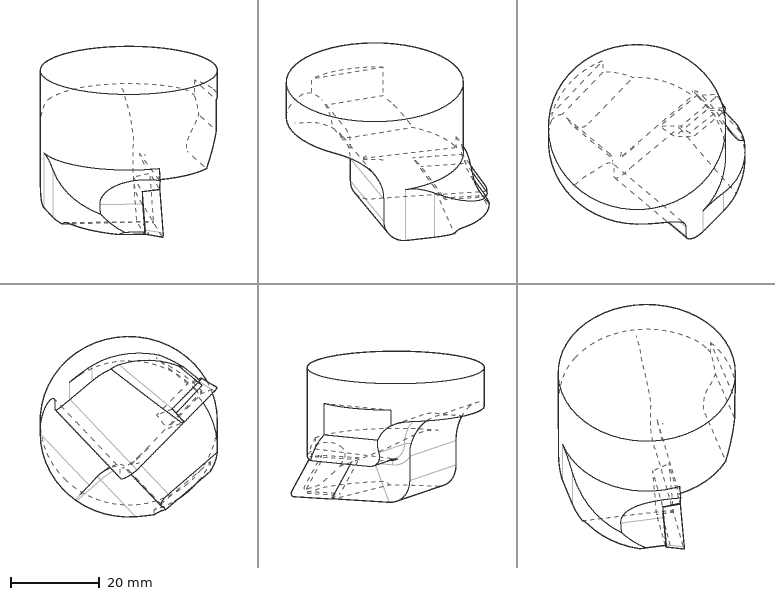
import cadquery as cq
import math

MARGIN = 14.05

head_diameter = 40.0
head_radius = head_diameter / 2

flange_edge_depth = 8.75
floor_angle = 3.0
stem_wall_x = -4.95
stem_bottom_depth = 30.55
stem_top_radius = 10.5
stem_bottom_radius = 5.5

stem_rear_y = 2.55
rear_floor_depth = 20.35
rear_wall_x = -4.45
rear_top_radius = 7.75
rear_blend_radius = 1.55
rear_bottom_radius = rear_floor_depth - flange_edge_depth - rear_top_radius
back_flat_y = 18.05
back_flat_top = -6.1
back_chamfer_top = -13.25
back_chamfer_floor_y = 14.0

arm_top_depth = 17.7
arm_flare_angle = 30.0
arm_flat_end_x = 6.95
arm_radius = 19.0
arm_depth = 37.5

insert_side = 11.62
insert_corner_angle = 55.0
insert_thickness = 4.0
insert_clearance = 7.0
insert_nose_radius = 0.75
insert_reach_x = 26.85
insert_reach_z = -32.0
insert_tip_y = -0.05
face_normal = cq.Vector(0.095, 1, -0.04)

relief_y = -3.75
relief_direction = cq.Vector(0.13, 1, -0.035)
relief_angle = insert_corner_angle + floor_angle
relief_corner = (25.05, -30.8)
relief_nose = (24.6, -31.45)
relief_wall_x = 20.55
relief_flank_radius = 6.55
relief_end_radius = 2.2
relief_end_x = 15.85

slope = math.tan(math.radians(floor_angle))
far = head_radius + MARGIN


def block(x0, x1, y0, y1, z0, z1):
    return cq.Workplane("XY").box(x1 - x0, y1 - y0, z1 - z0, centered=False).translate((x0, y0, z0))


def arm():
    """Flat-fronted arm bulging to +X, topped by a cone that flares from the head."""
    center_y = arm_radius - head_radius
    plan = (
        cq.Workplane("XY", origin=(0, 0, -arm_depth))
        .moveTo(0, -head_radius)
        .lineTo(arm_flat_end_x, -head_radius)
        .radiusArc((arm_flat_end_x + arm_radius, center_y), -arm_radius)
        .lineTo(arm_flat_end_x + arm_radius, stem_rear_y)
        .lineTo(0, stem_rear_y)
        .close()
        .extrude(arm_depth - arm_top_depth)
    )
    drop = arm_depth - arm_top_depth
    base_radius = head_radius + drop * math.tan(math.radians(arm_flare_angle))
    cone = cq.Workplane(
        cq.Solid.makeCone(base_radius, head_radius, drop, pnt=cq.Vector(0, 0, -arm_depth))
    )
    return plan.intersect(cone)


def stem_cutter():
    """Everything left of and below the stem, all along Y."""
    left_edge_z = -flange_edge_depth + slope * (far - head_radius)
    top_corner = (stem_wall_x, -flange_edge_depth - slope * (stem_wall_x + head_radius))
    low_corner = (stem_wall_x, -stem_bottom_depth - slope * stem_wall_x)
    outline = [
        (-far, left_edge_z),
        top_corner,
        low_corner,
        (far, -stem_bottom_depth - slope * far),
        (far, -arm_depth - MARGIN),
        (-far, -arm_depth - MARGIN),
    ]
    cutter = cq.Workplane("XZ", origin=(0, -far, 0)).polyline(outline).close().extrude(-2 * far)
    for (x, z), radius in ((top_corner, stem_top_radius), (low_corner, stem_bottom_radius)):
        cutter = cutter.edges(cq.selectors.NearestToPointSelector((x, 0, z))).fillet(radius)
    return cutter


def rear_cutter():
    """Space behind the stem, with a rounded front edge that leaves a blend on the body."""
    top_z = -flange_edge_depth
    middle_z = top_z - rear_top_radius
    cutter = (
        cq.Workplane("XZ", origin=(0, stem_rear_y, 0))
        .moveTo(-far, top_z)
        .lineTo(rear_wall_x - rear_top_radius, top_z)
        .radiusArc((rear_wall_x, middle_z), rear_top_radius)
        .radiusArc((rear_wall_x + rear_bottom_radius, -rear_floor_depth), -rear_bottom_radius)
        .lineTo(far, -rear_floor_depth)
        .lineTo(far, -arm_depth - MARGIN)
        .lineTo(-far, -arm_depth - MARGIN)
        .close()
        .extrude(-far)
    )
    return cutter.faces("<Y").edges().fillet(rear_blend_radius)


def back_cutter():
    """Flat and chamfer at the +Y side of the head."""
    outline = [
        (back_flat_y, back_flat_top),
        (back_flat_y, back_chamfer_top),
        (back_chamfer_floor_y, -rear_floor_depth),
        (back_chamfer_floor_y, -arm_depth),
        (far, -arm_depth),
        (far, back_flat_top),
    ]
    return cq.Workplane("YZ", origin=(-far, 0, 0)).polyline(outline).close().extrude(2 * far)


def relief_cutter():
    """Oblique prism that clears the arm around the insert seat."""
    steep = math.radians(relief_angle)
    run = math.cos(steep)
    rise = math.sin(steep)
    flank_x = relief_wall_x + relief_flank_radius
    tangent_x = flank_x - relief_flank_radius * rise
    tangent_z = relief_corner[1] + (relief_corner[0] - tangent_x) * rise / run
    flank_z = tangent_z + relief_flank_radius * run

    tilt = math.radians(floor_angle)
    end_z = relief_nose[1] + (relief_nose[0] - relief_end_x) * slope
    end_center = (
        relief_end_x - relief_end_radius * math.sin(tilt),
        end_z - relief_end_radius * math.cos(tilt),
    )
    end_left = (end_center[0] - relief_end_radius, end_center[1])
    end_mid = (
        end_center[0] - relief_end_radius * math.sqrt(0.5),
        end_center[1] + relief_end_radius * math.sqrt(0.5),
    )
    mid_angle = math.radians(90 - relief_angle) / 2 - math.pi / 4
    flank_top = (flank_x, flank_z + relief_flank_radius)
    flank_mid = (
        flank_x - relief_flank_radius * math.cos(mid_angle),
        flank_z - relief_flank_radius * math.sin(mid_angle),
    )
    profile = (
        cq.Workplane("XZ", origin=(0, relief_y, 0))
        .moveTo(*flank_top)
        .threePointArc(flank_mid, (tangent_x, tangent_z))
        .lineTo(*relief_corner)
        .lineTo(*relief_nose)
        .lineTo(relief_end_x, end_z)
        .threePointArc(end_mid, end_left)
        .lineTo(end_left[0], -arm_depth)
        .lineTo(far, -arm_depth)
        .lineTo(far, flank_top[1])
        .close()
        .wire()
        .val()
    )
    start = profile.translate(relief_direction * -far)
    return cq.Workplane(cq.Solid.extrudeLinear(start, [], relief_direction * (2 * far)))


def face_plane():
    """Plane of the insert's cutting face, seen along -Y: local X is +X, local Y is +Z."""
    along_x = cq.Vector(1, -face_normal.x, 0)
    origin = (insert_reach_x, insert_tip_y, insert_reach_z)
    return cq.Plane(origin=origin, xDir=along_x, normal=face_normal * -1)


def face_cutter():
    """Arm material standing proud of the cutting face."""
    return cq.Workplane(face_plane()).rect(4 * far, 4 * far).extrude(-2 * far)


def make_insert():
    """Rhombic insert: clearance on all sides and a rounded nose at the tip."""
    bottom = math.radians(180 - floor_angle)
    side = math.radians(180 - floor_angle - insert_corner_angle)
    bisector = (bottom + side) / 2
    nose_offset = insert_nose_radius / math.sin(math.radians(insert_corner_angle / 2))
    tip_x = -insert_nose_radius - nose_offset * math.cos(bisector)
    tip_y = insert_nose_radius - nose_offset * math.sin(bisector)
    bottom_x = insert_side * math.cos(bottom)
    bottom_y = insert_side * math.sin(bottom)
    side_x = insert_side * math.cos(side)
    side_y = insert_side * math.sin(side)
    outline = [
        (tip_x, tip_y),
        (tip_x + side_x, tip_y + side_y),
        (tip_x + side_x + bottom_x, tip_y + side_y + bottom_y),
        (tip_x + bottom_x, tip_y + bottom_y),
    ]
    return (
        cq.Workplane(face_plane())
        .polyline(outline)
        .close()
        .extrude(insert_thickness, taper=insert_clearance)
        .edges(">X")
        .fillet(insert_nose_radius)
    )


def make_holder(insert):
    rod = cq.Workplane("XY").circle(head_radius).extrude(-arm_depth)
    stem_zone = block(-far, far, -far, far, -arm_depth, -rear_floor_depth)
    holder = rod.cut(face_cutter().intersect(stem_zone)).union(arm().cut(face_cutter()))
    for cutter in (stem_cutter(), rear_cutter(), back_cutter(), relief_cutter()):
        holder = holder.cut(cutter)
    return holder.cut(insert)


insert = make_insert()
holder = make_holder(insert)

result = cq.Compound.makeCompound([holder.val(), insert.val()])